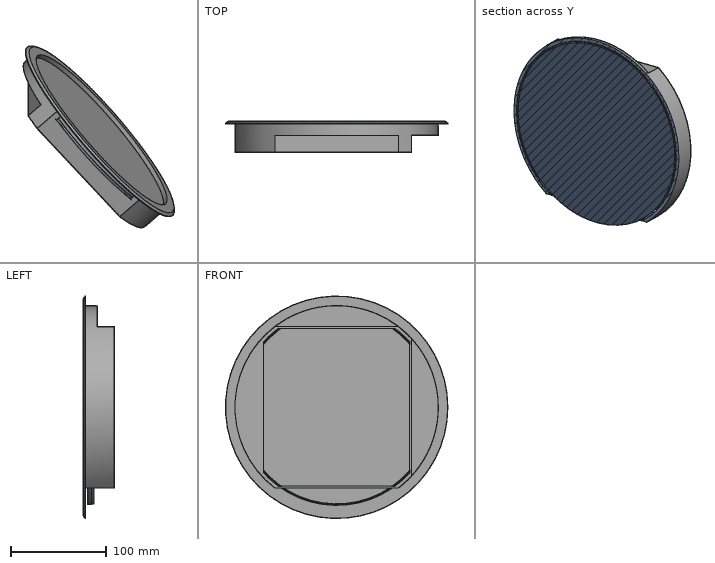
import cadquery as cq

flange_radius = 117.0
flange_thickness = 2.8
flange_chamfer_depth = 2.0
flange_chamfer_width = 3.0

drum_radius = 107.0
bore_radius = 103.0
front_depth = 30.2
shoulder_depth = 12.2

window_half_width = 76.8
window_half_height = 82.8
window_wall = 2.0
outer_half_width = window_half_width + window_wall
outer_half_height = window_half_height + window_wall

rear_plate_radius = 102.3
rear_plate_start = 1.9
rear_plate_thickness = 4.5
front_plate_radius = 101.5
front_plate_thickness = 2.5
front_plate_start = rear_plate_start + rear_plate_thickness
bore_depth = front_plate_start + front_plate_thickness


def disc(radius, start, thickness):
    """Disc on the Y axis, starting at depth `start` and growing toward -Y."""
    return cq.Workplane("XZ", origin=(0, -start, 0)).circle(radius).extrude(thickness)


def block(x_min, x_max, z_min, z_max, start, end):
    """Box between two depths in front of the flange face."""
    size = (x_max - x_min, end - start, z_max - z_min)
    return cq.Workplane("XY").box(*size, centered=False).translate((x_min, -end, z_min))


def make_flange():
    """Ring-shaped flange with a bevelled back edge, still without its bore."""
    bevel_start = flange_thickness - flange_chamfer_depth
    profile = [
        (0, 0),
        (flange_radius, 0),
        (flange_radius, bevel_start),
        (flange_radius - flange_chamfer_width, flange_thickness),
        (0, flange_thickness),
    ]
    return cq.Workplane("XY").polyline(profile).close().revolve(360, (0, 0, 0), (0, 1, 0))


def make_drum():
    """Drum lowered at the top and right, and cut off flat along the bottom."""
    drum = disc(drum_radius, 0, front_depth)
    bottom_cut = block(-drum_radius, drum_radius, -drum_radius, -outer_half_height, 0, front_depth)
    top_step = block(-drum_radius, drum_radius, outer_half_height, drum_radius, shoulder_depth, front_depth)
    right_step = block(outer_half_width, drum_radius, -drum_radius, drum_radius, shoulder_depth, front_depth)
    return drum.cut(bottom_cut).cut(top_step).cut(right_step)


def make_window():
    """Rectangle whose corners are rounded off by the bore radius."""
    rectangle = block(
        -window_half_width, window_half_width, -window_half_height, window_half_height, 0, front_depth
    )
    return rectangle.intersect(disc(bore_radius, 0, front_depth))


def make_housing():
    """Flange and drum in one piece, bored from the back for the plates."""
    bore = disc(bore_radius, -flange_thickness, flange_thickness + bore_depth)
    return make_flange().union(make_drum()).cut(bore).cut(make_window()).solids().val()


housing = make_housing()
rear_plate = disc(rear_plate_radius, rear_plate_start, rear_plate_thickness)
front_plate = disc(front_plate_radius, front_plate_start, front_plate_thickness)

result = cq.Compound.makeCompound([housing, rear_plate.val(), front_plate.val()])